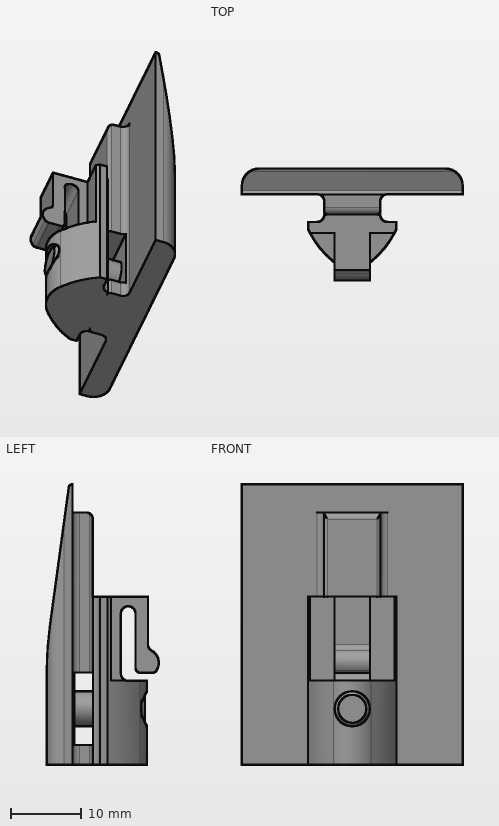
import cadquery as cq
import math


plate_width = 31.5
plate_height = 40.0
plate_thickness = 3.7
plate_edge_radius = 2.5
taper_angle = math.radians(7.75)
taper_blend_radius = 50.0
plate_tip_thickness = 0.5
plate_tip_radius = 0.5

ridge_width = 8.0
ridge_height = 36.0
ridge_front = 6.6
ridge_side_radius = 0.5
ridge_top_radius = 1.0
ridge_foot_radius = 1.0

window_height = 10.3
window_back = 4.0
pin_height = 8.0
pin_diameter = 5.0
pin_end = 14.03
pin_chamfer = 0.5

body_half_width = 6.3
body_height = 24.0
body_shoulder_radius = 1.0
body_flank_start = 8.65
body_flank_radius = 13.5
body_nose = 14.33
body_nose_radius = 4.0
body_nose_half_width = 2.65
shelf_height = 12.0
shelf_back = 9.2

hook_width = 5.1
hook_front = 14.45
hook_bottom = 13.1
hook_heel_radius = 0.75
hook_toe_radius = 0.75
slot_back = 10.6
slot_width = 2.05
slot_top = 22.6
slot_foot_radius = 1.0
bump_radius = 2.0
bump_tip = 16.0
bump_height = 14.55
bump_neck_radius = 1.0

arc_half = math.sqrt(0.5)


def block(width, back, front, bottom, top):
    """Box centred on X between two depths and two heights."""
    return (
        cq.Workplane("XY")
        .box(width, front - back, top - bottom, centered=(True, False, False))
        .translate((0, -front, bottom))
    )


def cylinder_along_depth(diameter, back, front, height):
    """Cylinder centred on X that runs along Y between two depths."""
    return (
        cq.Workplane("XZ", origin=(0, -back, height))
        .circle(diameter / 2)
        .extrude(front - back)
    )


def make_plate():
    """Slab with rounded side edges, common with the tapered side outline."""
    slab = (
        block(plate_width, 0, plate_thickness, 0, plate_height)
        .edges("|Z and >Y")
        .fillet(plate_edge_radius)
    )

    tip_depth = plate_thickness - plate_tip_thickness
    blend_depth = taper_blend_radius * (1 - math.cos(taper_angle))
    blend_end = plate_height - (tip_depth - blend_depth) / math.tan(taper_angle)
    blend_start = blend_end - taper_blend_radius * math.sin(taper_angle)
    tapered = (
        cq.Workplane("YZ", origin=(-plate_width / 2, 0, 0))
        .moveTo(-plate_thickness, 0)
        .lineTo(0, 0)
        .lineTo(0, blend_start)
        .tangentArcPoint((-blend_depth, blend_end), relative=False)
        .lineTo(-tip_depth, plate_height)
        .lineTo(-plate_thickness, plate_height)
        .close()
        .extrude(plate_width)
        .faces(">Z")
        .edges(">Y")
        .fillet(plate_tip_radius)
    )
    return slab.intersect(tapered)


def make_ridge():
    """Bar with hollow rounded feet on the plate, rounded front edges and a window."""
    half_width = ridge_width / 2
    foot_half_width = half_width + ridge_foot_radius
    foot_front = plate_thickness + ridge_foot_radius
    foot_bulge = ridge_foot_radius * (1 - arc_half)
    bar = (
        cq.Workplane("XY")
        .moveTo(-foot_half_width, -plate_thickness)
        .threePointArc(
            (-half_width - foot_bulge, -plate_thickness - foot_bulge),
            (-half_width, -foot_front),
        )
        .lineTo(-half_width, -ridge_front)
        .lineTo(half_width, -ridge_front)
        .lineTo(half_width, -foot_front)
        .threePointArc(
            (half_width + foot_bulge, -plate_thickness - foot_bulge),
            (foot_half_width, -plate_thickness),
        )
        .close()
        .extrude(ridge_height)
        .edges("|Z and <Y")
        .fillet(ridge_side_radius)
    )
    rounded_top = (
        block(2 * foot_half_width, plate_thickness, ridge_front, 0, ridge_height)
        .edges("<Y and >Z")
        .fillet(ridge_top_radius)
    )
    window = block(
        2 * foot_half_width,
        window_back,
        ridge_front,
        pin_height - window_height / 2,
        pin_height + window_height / 2,
    )
    return bar.intersect(rounded_top).cut(window)


def nose_start_depth():
    """Depth at which the body's flank meets its round nose."""
    nose_centre = body_nose - body_nose_radius
    return nose_centre + math.sqrt(body_nose_radius**2 - body_nose_half_width**2)


def flank_middle():
    """Half-width and depth of the middle of the body's curved flank."""
    nose_start = nose_start_depth()
    run = body_half_width - body_nose_half_width
    rise = nose_start - body_flank_start
    chord = math.hypot(run, rise)
    bulge = body_flank_radius - math.sqrt(body_flank_radius**2 - (chord / 2) ** 2)
    half_width = (body_half_width + body_nose_half_width) / 2 + bulge * rise / chord
    depth = (body_flank_start + nose_start) / 2 + bulge * run / chord
    return half_width, depth


def make_body():
    """Column below the shelf height, and the slab that carries the hook above it."""
    neck_half_width = ridge_width / 2
    shoulder_half_width = neck_half_width + body_shoulder_radius
    shoulder_depth = ridge_front + body_shoulder_radius
    shoulder_bulge = body_shoulder_radius * (1 - arc_half)
    flank_half_width, flank_depth = flank_middle()
    half = (
        cq.Workplane("XY")
        .moveTo(0, -ridge_front)
        .lineTo(neck_half_width, -ridge_front)
        .threePointArc(
            (neck_half_width + shoulder_bulge, -shoulder_depth + shoulder_bulge),
            (shoulder_half_width, -shoulder_depth),
        )
        .lineTo(body_half_width, -shoulder_depth)
        .lineTo(body_half_width, -body_flank_start)
        .threePointArc(
            (flank_half_width, -flank_depth),
            (body_nose_half_width, -nose_start_depth()),
        )
        .radiusArc((0, -body_nose), body_nose_radius)
        .close()
        .extrude(body_height)
    )
    column = half.union(half.mirror("YZ"))
    above_shelf = block(2 * body_half_width, shelf_back, body_nose, shelf_height, body_height)
    return column.cut(above_shelf)


def make_hook():
    """Hook outline, extruded across its width. Its back lies against the slab of the body."""
    slot_front = slot_back + slot_width
    slot_crown = slot_top - slot_width / 2
    bump_depth = bump_tip - bump_radius

    neck_depth = hook_front + bump_neck_radius
    neck_reach = bump_radius + bump_neck_radius
    neck_height = bump_height + math.sqrt(neck_reach**2 - (neck_depth - bump_depth) ** 2)
    neck_share = bump_radius / neck_reach
    neck_end_depth = bump_depth + neck_share * (neck_depth - bump_depth)
    neck_end_height = bump_height + neck_share * (neck_height - bump_height)

    toe_reach = bump_radius - hook_toe_radius
    toe_drop = bump_height - hook_bottom - hook_toe_radius
    toe_depth = bump_depth + math.sqrt(toe_reach**2 - toe_drop**2)
    toe_scale = bump_radius / toe_reach
    toe_start_depth = bump_depth + toe_scale * (toe_depth - bump_depth)
    toe_start_height = bump_height - toe_scale * toe_drop

    return (
        cq.Workplane("YZ", origin=(-hook_width / 2, 0, 0))
        .moveTo(-shelf_back, shelf_height)
        .lineTo(-shelf_back, body_height)
        .lineTo(-hook_front, body_height)
        .lineTo(-hook_front, neck_height)
        .tangentArcPoint((-neck_end_depth, neck_end_height), relative=False)
        .tangentArcPoint((-toe_start_depth, toe_start_height), relative=False)
        .tangentArcPoint((-toe_depth, hook_bottom), relative=False)
        .lineTo(-slot_front - hook_heel_radius, hook_bottom)
        .tangentArcPoint((-slot_front, hook_bottom + hook_heel_radius), relative=False)
        .lineTo(-slot_front, slot_crown)
        .tangentArcPoint((-slot_back, slot_crown), relative=False)
        .lineTo(-slot_back, shelf_height + slot_foot_radius)
        .tangentArcPoint((-slot_back - slot_foot_radius, shelf_height), relative=False)
        .close()
        .extrude(hook_width)
    )


def make_pin_hole():
    """Bore that the pin fills, leaving a groove around its chamfered end."""
    return cylinder_along_depth(pin_diameter, ridge_front, body_nose, pin_height)


def make_pin():
    """Pin from the plate through the window and the bore."""
    pin = cylinder_along_depth(pin_diameter, plate_thickness, pin_end, pin_height)
    return pin.faces("<Y").chamfer(pin_chamfer)


body = make_body().union(make_hook()).cut(make_pin_hole())
result = make_plate().union(make_ridge()).union(body).union(make_pin())